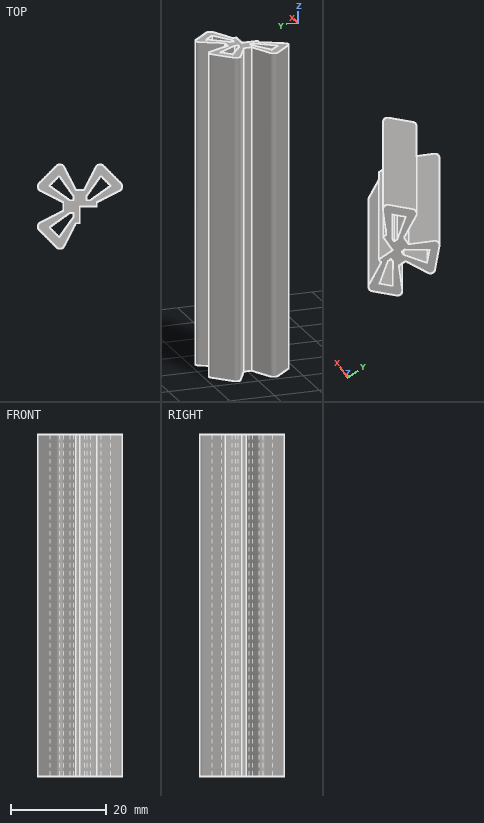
import cadquery as cq
import math

length = 71.7
width = 17.7
core_half = 3.5
flank_start = 0.85
flank_angle = 27.0
tip_radius = 1.0

pocket_inner = 1.35
pocket_step = 0.8
pocket_tip_near = 4.4
pocket_tip_far = 6.4

half_width = width / 2
flank_slope = math.tan(math.radians(flank_angle))
half_corner = math.radians(45 + flank_angle) / 2
corner_lean = math.radians(45) - half_corner
tip_overshoot = tip_radius * (math.cos(corner_lean) / math.sin(half_corner) - 1)
tip_far = half_width + tip_overshoot
tip_near = flank_start + flank_slope * (tip_far - core_half)


def extrude_outline(points):
    return cq.Workplane("XY").polyline(points).close().extrude(length)


def make_arm():
    """Flared arm in the +X +Y quadrant, with its core quarter and pocket."""
    outline = [
        (0, 0),
        (core_half, 0),
        (core_half, flank_start),
        (tip_far, tip_near),
        (tip_near, tip_far),
        (flank_start, core_half),
        (0, core_half),
    ]
    arm = extrude_outline(outline)
    arm = arm.edges("|Z").edges(">X or >Y").fillet(tip_radius)

    pocket_shoulder = pocket_inner + pocket_step
    pocket = [
        (pocket_inner, pocket_inner),
        (pocket_shoulder, pocket_inner),
        (pocket_tip_far, pocket_tip_near),
        (pocket_tip_near, pocket_tip_far),
        (pocket_inner, pocket_shoulder),
    ]
    return arm.cut(extrude_outline(pocket))


arm = make_arm()
result = arm
for turn in (90, 180):
    result = result.union(arm.rotate((0, 0, 0), (0, 0, 1), turn))
result = result.clean()